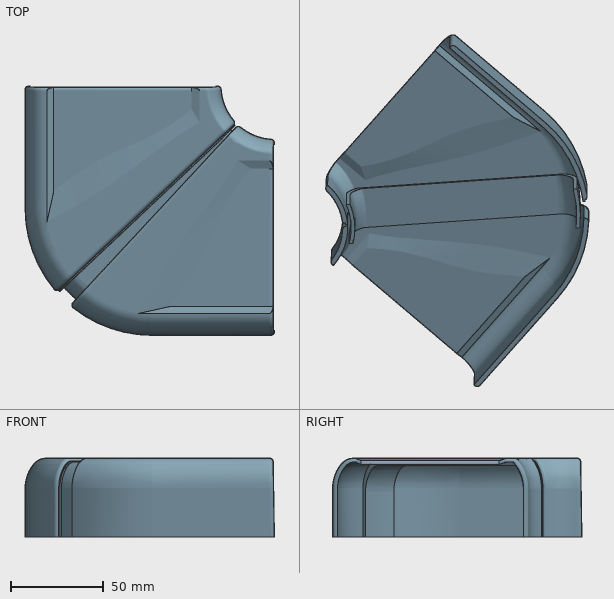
import cadquery as cq
import math

LEG_LENGTH = 134.6
HEIGHT = 42.7
CORNER_RADIUS = 68.7
THROAT_RADIUS = 28.8

OUTER_EDGE = (20.5, 8.9, 39.6)
THROAT_EDGE = (22.8, 3.0, 42.9)

ROOF_THICKNESS = 2.0
WALL_THICKNESS = 2.7
END_LEAN = 0.7
RIM_FILLET = 2.0

LEFT_GAP = (4.3, 0.4)
RIGHT_GAP = (5.8, 1.0)
GAP_START = 29.6
GAP_END = 161.6

LIP_WIDTH = 0.8
LIP_THICKNESS = 0.5

TONGUE_INSET = 4.6
TONGUE_THICKNESS = 2.0
TONGUE_HALF_WIDTH = 10.8

PANEL_DEPTH = 1.3
PANEL_FLOOR_SIDES = (15.5, 90.0)
PANEL_RIM_SIDES = (11.8, 94.2)
PANEL_FLOOR_WAVE = [(15.5, 77.8), (30.4, 88.7), (43.1, 96.3), (56.3, 102.0), (76.2, 112.0), (90.0, 122.1)]
PANEL_RIM_WAVE = [(11.8, 61.3), (22.9, 67.2), (39.9, 77.1), (56.8, 88.9), (76.7, 103.7), (94.2, 115.1)]

REACH = 2.7


def edge_points(edge, offset, shift, drop):
    """(inset, height) of the wall top, arc middles, arc joint and roof start of a rounded edge.

    The edge is offset into the material, then moved inward by shift and down by drop.
    """
    lower, upper, degrees = edge
    turn = math.radians(degrees)
    spring = HEIGHT - lower * math.sin(turn) - upper * (1 - math.sin(turn)) - drop
    lower_centre = (shift + lower, spring)
    upper_centre = (
        lower_centre[0] - (lower - upper) * math.cos(turn),
        spring + (lower - upper) * math.sin(turn),
    )

    def on_arc(centre, radius, angle):
        return (centre[0] - radius * math.cos(angle), centre[1] + radius * math.sin(angle))

    return (
        on_arc(lower_centre, lower - offset, 0),
        on_arc(lower_centre, lower - offset, turn / 2),
        on_arc(lower_centre, lower - offset, turn),
        on_arc(upper_centre, upper - offset, (turn + math.pi / 2) / 2),
        on_arc(upper_centre, upper - offset, math.pi / 2),
    )


def elbow_side(length, offset=0.0, shift=0.0, drop=0.0):
    """Solid for the leg along +Y and the rounded corner, with its surface moved inward."""
    wall_top, low_mid, joint, high_mid, roof = edge_points(OUTER_EDGE, offset, shift, drop)

    def section(width):
        return (
            cq.Workplane("XZ", origin=(0, CORNER_RADIUS, 0))
            .moveTo(wall_top[0], 0)
            .lineTo(*wall_top)
            .threePointArc(low_mid, joint)
            .threePointArc(high_mid, roof)
            .lineTo(width, roof[1])
            .lineTo(width, 0)
            .close()
        )

    leg = section(LEG_LENGTH).extrude(CORNER_RADIUS - length)
    corner = section(CORNER_RADIUS).revolve(90, (CORNER_RADIUS, 0), (CORNER_RADIUS, 1))
    return leg.union(corner).cut(throat(offset, shift, drop))


def throat(offset, shift, drop):
    """Space of the concave inner corner, flaring out at the roof."""
    points = edge_points(THROAT_EDGE, offset, shift, drop)
    wall_top, low_mid, joint, high_mid, roof = [
        (LEG_LENGTH - THROAT_RADIUS - inset, height) for inset, height in points
    ]
    return (
        cq.Workplane("XZ", origin=(0, LEG_LENGTH, 0))
        .moveTo(LEG_LENGTH, 0)
        .lineTo(wall_top[0], 0)
        .lineTo(*wall_top)
        .threePointArc(low_mid, joint)
        .threePointArc(high_mid, roof)
        .lineTo(LEG_LENGTH, roof[1])
        .close()
        .revolve(360, (LEG_LENGTH, 0), (LEG_LENGTH, 1))
    )


def from_diagonal(along, away):
    """Plan point at a distance along the mitre diagonal and away from it toward +Y."""
    return ((along - away) / math.sqrt(2), (along + away) / math.sqrt(2))


def end_limit(height):
    """Block whose +Y face is the leaning end of the leg."""
    lean = END_LEAN * height / HEIGHT
    return (
        cq.Workplane("YZ")
        .polyline([(0, 0), (LEG_LENGTH, 0), (LEG_LENGTH - lean, height), (0, height)])
        .close()
        .extrude(LEG_LENGTH)
    )


def mitre_limit(gap):
    """Block on the +Y side of the mitre gap."""
    slope = (gap[1] - gap[0]) / (GAP_END - GAP_START)
    far = 2 * LEG_LENGTH
    near_gap = gap[0] - slope * GAP_START
    far_gap = gap[0] + slope * (far - GAP_START)
    corners = [(0, near_gap), (far, far_gap), (far, LEG_LENGTH), (0, LEG_LENGTH)]
    return (
        cq.Workplane("XY")
        .polyline([from_diagonal(*corner) for corner in corners])
        .close()
        .extrude(HEIGHT)
    )


def panel_recess():
    """Sunken roof panel with sloping sides and a ramp up to the mitre."""
    end = LEG_LENGTH + REACH

    def outline(workplane, sides, wave):
        return (
            workplane.moveTo(sides[0], end)
            .lineTo(*wave[0])
            .spline(wave[1:], includeCurrent=True)
            .lineTo(sides[1], end)
            .close()
        )

    floor = outline(
        cq.Workplane("XY", origin=(0, 0, HEIGHT - PANEL_DEPTH)), PANEL_FLOOR_SIDES, PANEL_FLOOR_WAVE
    )
    rim = outline(floor.workplane(offset=PANEL_DEPTH), PANEL_RIM_SIDES, PANEL_RIM_WAVE)
    return rim.loft(ruled=True)


def panel_end_rounding():
    """Waste removed to round the panel floor over into the leg end."""
    floor_height = HEIGHT - PANEL_DEPTH
    rounded_end = end_limit(floor_height).faces(">Z").edges(">Y").fillet(RIM_FILLET)
    waste = cq.Workplane("XY").box(
        PANEL_FLOOR_SIDES[1] - PANEL_FLOOR_SIDES[0], 2 * REACH, RIM_FILLET, centered=(False, True, False)
    )
    return waste.translate((PANEL_FLOOR_SIDES[0], LEG_LENGTH, floor_height - RIM_FILLET)).cut(rounded_end)


def cover(gap):
    """Half of the elbow cover: a shell open below, at the leg end and at the mitre."""
    body = elbow_side(LEG_LENGTH).intersect(end_limit(HEIGHT)).intersect(mitre_limit(gap))
    body = body.faces(">Y").edges("not(<Z)").fillet(RIM_FILLET)
    beside_mitre = (*from_diagonal((GAP_START + GAP_END) / 2, min(gap)), HEIGHT / 2)
    mitre_face = body.faces(cq.selectors.NearestToPointSelector(beside_mitre))
    body = mitre_face.edges("not(<Z)").fillet(RIM_FILLET)
    recess = panel_recess()
    cavity = elbow_side(LEG_LENGTH + REACH, ROOF_THICKNESS, WALL_THICKNESS - ROOF_THICKNESS)
    cavity = cavity.cut(recess.translate((0, 0, -ROOF_THICKNESS)))
    return body.cut(cavity).cut(recess).cut(panel_end_rounding())


def mirrored(body):
    """Body mirrored across the vertical mitre plane."""
    return body.mirror(cq.Vector(1, -1, 0))


def mitre_strip():
    """Block beside the diagonal, as wide as half the tongue."""
    corners = [(0, 0), (2 * LEG_LENGTH, 0), (2 * LEG_LENGTH, TONGUE_HALF_WIDTH), (0, TONGUE_HALF_WIDTH)]
    return (
        cq.Workplane("XY")
        .polyline([from_diagonal(*corner) for corner in corners])
        .close()
        .extrude(HEIGHT)
    )


def mitre_lip(gap):
    """Lip along the mitre edge of a cover, flush with the inside of its shell."""
    narrowed_gap = (gap[0] - LIP_WIDTH, gap[1] - LIP_WIDTH)
    outer = elbow_side(LEG_LENGTH, ROOF_THICKNESS - LIP_THICKNESS)
    layer = outer.cut(elbow_side(LEG_LENGTH, ROOF_THICKNESS, WALL_THICKNESS - ROOF_THICKNESS))
    return layer.intersect(mitre_strip()).intersect(mitre_limit(narrowed_gap))


def tongue():
    """Inset strip along the mitre that spans the gap between the covers."""
    shift = TONGUE_INSET - ROOF_THICKNESS
    shell = elbow_side(LEG_LENGTH, ROOF_THICKNESS, shift).cut(
        elbow_side(LEG_LENGTH, ROOF_THICKNESS, shift + TONGUE_THICKNESS, TONGUE_THICKNESS)
    )
    side = shell.intersect(mitre_strip())
    return side.union(mirrored(side))


left_cover = cover(LEFT_GAP).union(mitre_lip(LEFT_GAP))
right_cover = mirrored(cover(RIGHT_GAP)).union(tongue())

result = cq.Compound.makeCompound([left_cover.val(), right_cover.val()])